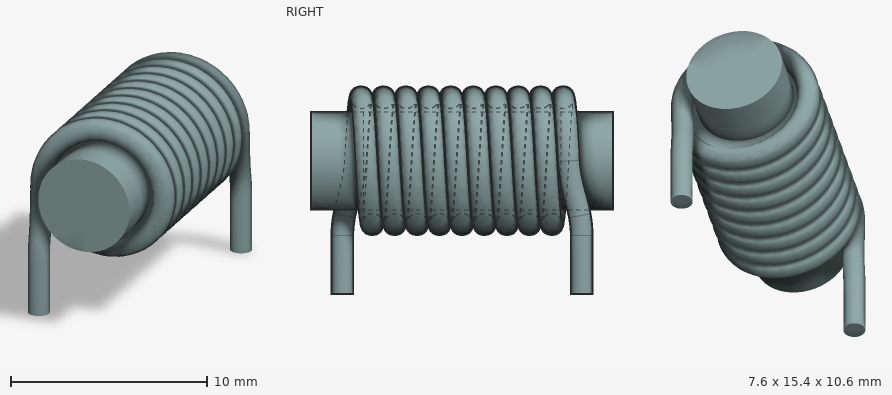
import cadquery as cq
import math

core_diameter = 5.0
core_length = 15.4

wire_diameter = 1.12
coil_outer_diameter = 7.6
turns = 9.5
winding_length = 10.87
coil_radius = (coil_outer_diameter - wire_diameter) / 2
pitch = winding_length / turns

lead_x = 3.11
lead_y = 6.1
bend_top_z = -2.79
bend_bottom_z = -coil_outer_diameter / 2
lead_tip_z = -6.79
lead_tilt = math.radians(11.3)

sleeve_outer_diameter = 6.24
sleeve_length = 10.07


def rod_along_y(diameter, length):
    """Cylinder along Y, centred on the origin."""
    front_end = cq.Workplane("XZ", origin=(0, -length / 2, 0))
    return front_end.circle(diameter / 2).extrude(-length)


def make_winding(turn_count):
    """Helical wire that starts at -X, rises over the top and advances toward +Y."""
    helix = cq.Wire.makeHelix(pitch, pitch * turn_count, coil_radius)
    start_direction = (0, coil_radius, pitch / (2 * math.pi))
    section = cq.Plane(origin=(coil_radius, 0, 0), xDir=(1, 0, 0), normal=start_direction)
    winding = cq.Workplane(section).circle(wire_diameter / 2).sweep(cq.Workplane(helix), isFrenet=True)
    return (
        winding.rotate((0, 0, 0), (0, 0, 1), 180)
        .rotate((0, 0, 0), (1, 0, 0), -90)
        .translate((0, -winding_length / 2, 0))
    )


def make_front_lead():
    """Lead at the -Y end: swing out of the winding, bend to vertical, straight tail."""
    bend_radius = (bend_top_z - bend_bottom_z) / math.sin(lead_tilt)
    bend_offset = bend_radius * (1 - math.cos(lead_tilt))
    start = cq.Vector(-coil_radius, -winding_length / 2, 0)
    start_direction = cq.Vector(0, -pitch / (2 * math.pi), -coil_radius).normalized()
    bend_top = cq.Vector(-lead_x, -lead_y + bend_offset, bend_top_z)
    bend_direction = cq.Vector(0, -math.sin(lead_tilt), -math.cos(lead_tilt))
    bend_bottom = cq.Vector(-lead_x, -lead_y, bend_bottom_z)
    tip = cq.Vector(-lead_x, -lead_y, lead_tip_z)

    swing = cq.Edge.makeSpline([start, bend_top], tangents=[start_direction, bend_direction])
    bend = cq.Edge.makeTangentArc(bend_top, bend_direction, bend_bottom)
    tail = cq.Edge.makeLine(bend_bottom, tip)
    path = cq.Wire.assembleEdges([swing, bend, tail])

    section = cq.Plane(origin=start, xDir=(1, 0, 0), normal=start_direction)
    return cq.Workplane(section).circle(wire_diameter / 2).sweep(cq.Workplane(path))


def make_rear_lead():
    """Lead at the +Y end: the front lead turned half a turn about Z."""
    return make_front_lead().rotate((0, 0, 0), (0, 0, 1), 180)


def make_coil():
    """Winding joined to its two leads."""
    return make_winding(turns).union(make_front_lead()).union(make_rear_lead())


def make_sleeve():
    """Tube bored for the core, with a helical groove that seats the coil."""
    sleeve = rod_along_y(sleeve_outer_diameter, sleeve_length).cut(rod_along_y(core_diameter, core_length))
    half_turn = make_winding(0.5)
    for index in range(round(2 * turns)):
        cutter = half_turn.rotate((0, 0, 0), (0, 1, 0), 180 * index).translate((0, index * pitch / 2, 0))
        sleeve = sleeve.cut(cutter)
    return sleeve.cut(make_front_lead()).cut(make_rear_lead())


core = rod_along_y(core_diameter, core_length)
coil = make_coil()
sleeve = make_sleeve()

result = cq.Compound.makeCompound([core.solids().val(), coil.solids().val(), sleeve.solids().val()])